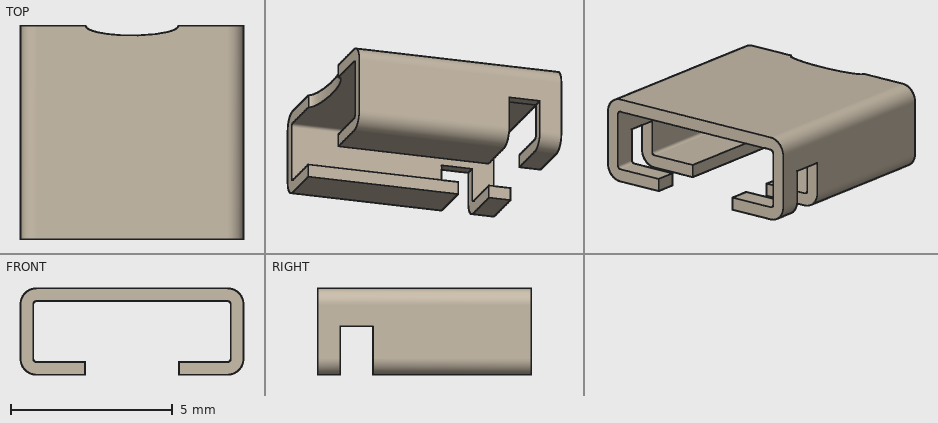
import cadquery as cq

WIDTH = 6.9
LENGTH = 6.6
HEIGHT = 2.68

SHEET = 0.4
INNER_BEND = 0.1
OUTER_BEND = INNER_BEND + SHEET

LIP_LENGTH = 2.0

SLOT_WIDTH = 1.0
SLOT_HEIGHT = 1.5
SLOT_FROM_FRONT = 0.705

SCOOP_HALF_WIDTH = 1.43
SCOOP_DEPTH = 0.3


def rounded_bar(width, height, bend):
    """Full-length bar along Y with its four long edges rounded."""
    return cq.Workplane("XY").box(width, LENGTH, height).edges("|Y").fillet(bend)


def folded_channel():
    """C-shaped channel: top plate, two side walls and two inward lips."""
    outer = rounded_bar(WIDTH, HEIGHT, OUTER_BEND)
    inner = rounded_bar(WIDTH - 2 * SHEET, HEIGHT - 2 * SHEET, INNER_BEND)
    lip_gap = (
        cq.Workplane("XY")
        .box(WIDTH - 2 * LIP_LENGTH, LENGTH, HEIGHT / 2, centered=(True, True, False))
        .translate((0, 0, -HEIGHT / 2))
    )
    return outer.cut(inner).cut(lip_gap)


def wall_slots():
    """Block that removes the slot from both side walls and their lips."""
    slot_center_y = -LENGTH / 2 + SLOT_FROM_FRONT + SLOT_WIDTH / 2
    return (
        cq.Workplane("XY")
        .box(WIDTH, SLOT_WIDTH, SLOT_HEIGHT, centered=(True, True, False))
        .translate((0, slot_center_y, -HEIGHT / 2))
    )


def rear_scoop():
    """Elliptical cutter centred on the rear edge, through the top plate only."""
    return (
        cq.Workplane("XY", origin=(0, LENGTH / 2, HEIGHT / 2 - SHEET))
        .ellipse(SCOOP_HALF_WIDTH, SCOOP_DEPTH)
        .extrude(SHEET)
    )


result = folded_channel().cut(wall_slots()).cut(rear_scoop())